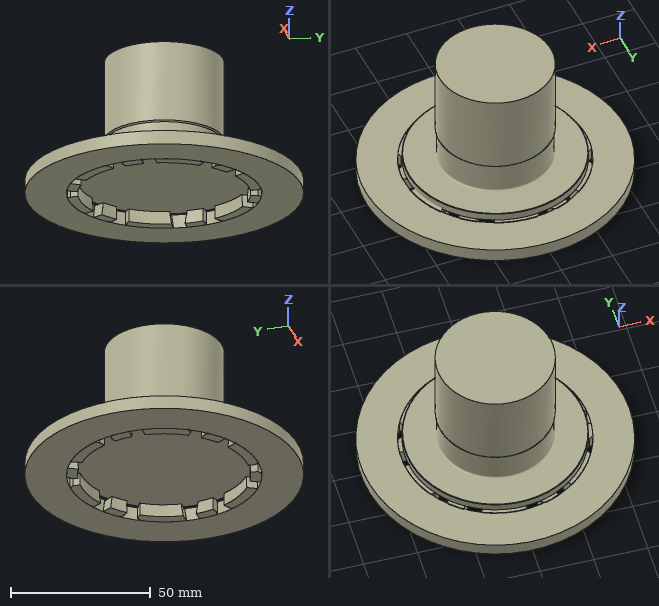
import cadquery as cq
import math

ring_diameter = 99.9
ring_height = 5.1
bore_diameter = 69.9
total_height = 50.0

flange_diameter = 66.7
flange_thickness = 3.0
flange_bottom = 4.8
flange_edge_chamfer = 0.2
neck_diameter = 42.0
neck_root_fillet = 0.8
grip_diameter = 43.0
grip_length = 30.1

lug_count = 6
lug_thickness = 4.0
lug_start_angle = -14.2
lug_end_angle = 32.4
lug_corner_chamfer = 1.3

slot_width = 4.9
slot_taper = 0.7
slot_offset = 0.5

rim_fillet = 0.7

bore_radius = bore_diameter / 2
flange_radius = flange_diameter / 2
neck_radius = neck_diameter / 2
grip_radius = grip_diameter / 2
lug_inner_radius = bore_radius - lug_thickness
flange_top = flange_bottom + flange_thickness
grip_bottom = total_height - grip_length
grip_taper_height = grip_radius - neck_radius
lug_pitch = 360 / lug_count


def polar(radius, angle):
    """Point at a radius and an angle in degrees around the Z axis."""
    turn = math.radians(angle)
    return (radius * math.cos(turn), radius * math.sin(turn))


def make_ring():
    """Flat ring with a plain bore."""
    return cq.Workplane("XY").circle(ring_diameter / 2).circle(bore_radius).extrude(ring_height)


def make_turned_plug():
    """Flange, neck and grip, turned as one profile around the Z axis."""
    fillet_centre = (neck_radius + neck_root_fillet, flange_top + neck_root_fillet)
    fillet_reach = neck_root_fillet * math.sqrt(0.5)
    fillet_middle = (fillet_centre[0] - fillet_reach, fillet_centre[1] - fillet_reach)
    return (
        cq.Workplane("XZ")
        .moveTo(0, flange_bottom)
        .lineTo(flange_radius, flange_bottom)
        .lineTo(flange_radius, flange_top - flange_edge_chamfer)
        .lineTo(flange_radius - flange_edge_chamfer, flange_top)
        .lineTo(fillet_centre[0], flange_top)
        .threePointArc(fillet_middle, (neck_radius, fillet_centre[1]))
        .lineTo(neck_radius, grip_bottom - grip_taper_height)
        .lineTo(grip_radius, grip_bottom)
        .lineTo(grip_radius, total_height)
        .lineTo(0, total_height)
        .close()
        .revolve(360, (0, 0, 0), (0, 1, 0))
    )


def make_lug():
    """Curved lug with bevelled outer corners, split by its slot."""
    bevel_angle = math.degrees(lug_corner_chamfer / bore_radius)
    bevel_radius = bore_radius - lug_corner_chamfer
    first_angle = lug_start_angle - bevel_angle
    last_angle = lug_end_angle + bevel_angle
    middle_angle = (lug_start_angle + lug_end_angle) / 2
    block = (
        cq.Workplane("XY")
        .moveTo(*polar(lug_inner_radius, first_angle))
        .lineTo(*polar(bevel_radius, first_angle))
        .lineTo(*polar(bore_radius, lug_start_angle))
        .threePointArc(polar(bore_radius, middle_angle), polar(bore_radius, lug_end_angle))
        .lineTo(*polar(bevel_radius, last_angle))
        .lineTo(*polar(lug_inner_radius, last_angle))
        .threePointArc(polar(lug_inner_radius, middle_angle), polar(lug_inner_radius, first_angle))
        .close()
        .extrude(flange_bottom)
    )
    half_width = slot_width / 2
    half_mouth = half_width + slot_taper
    slot = (
        cq.Workplane("YZ")
        .moveTo(slot_offset - half_width, 0)
        .lineTo(slot_offset + half_width, 0)
        .lineTo(slot_offset + half_mouth, flange_bottom)
        .lineTo(slot_offset - half_mouth, flange_bottom)
        .close()
        .extrude(ring_diameter / 2)
    )
    return block.cut(slot)


def make_rim_fillet():
    """Concave fillet on the first lug, from the slot to the end, with a root sunk into the flange."""
    slot_edge = slot_offset + slot_width / 2 + slot_taper
    start_angle = math.degrees(math.asin(slot_edge / flange_radius))
    foot_radius = flange_radius + rim_fillet
    rim_top = flange_bottom + rim_fillet
    reach = rim_fillet * (1 - math.sqrt(0.5))
    return (
        cq.Workplane("XZ")
        .moveTo(flange_radius - rim_fillet, flange_bottom)
        .lineTo(foot_radius, flange_bottom)
        .threePointArc((flange_radius + reach, flange_bottom + reach), (flange_radius, rim_top))
        .lineTo(flange_radius - rim_fillet, rim_top)
        .close()
        .revolve(lug_end_angle - start_angle, (0, 0, 0), (0, 1, 0))
        .rotate((0, 0, 0), (0, 0, 1), start_angle)
    )


def make_plug():
    """Turned plug with its ring of lugs and the single rim fillet."""
    plug = make_turned_plug()
    lug = make_lug()
    for index in range(lug_count):
        plug = plug.union(lug.rotate((0, 0, 0), (0, 0, 1), index * lug_pitch))
    return plug.union(make_rim_fillet())


ring = make_ring()
plug = make_plug()

result = cq.Compound.makeCompound([ring.val(), plug.val()])